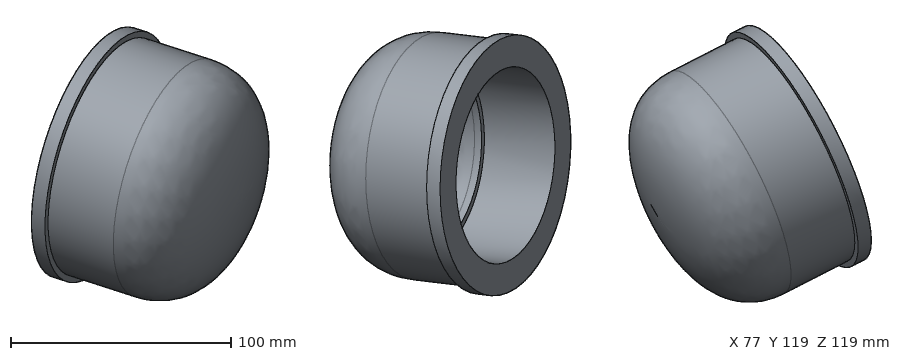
import cadquery as cq

total_length = 77.0
flange_radius = 119 / 2
flange_thickness = 7.0
body_radius = 113 / 2
body_end = 40.6
bore_radius = 90.0 / 2
bore_depth = 36.9
cavity_radius = 84.8 / 2
wall = body_radius - cavity_radius
dome_fullness = 0.65
dome_height = total_length - body_end
cavity_dome_height = dome_height - wall


def domed_solid(radius, cylinder_end, dome):
    """Cylinder from X = 0 closed at its far end by a dome fuller than an ellipsoid."""
    cylinder = (
        cq.Workplane("YZ")
        .circle(radius)
        .extrude(cylinder_end)
    )
    cap = (
        cq.Workplane("XY", origin=(cylinder_end, 0, 0))
        .moveTo(0, radius)
        .bezier([
            (0, radius),
            (dome_fullness * dome, radius),
            (dome, dome_fullness * radius),
            (dome, 0),
        ])
        .lineTo(0, 0)
        .close()
        .revolve(360, (0, 0, 0), (1, 0, 0))
    )
    return cylinder.union(cap)


flange = cq.Workplane("YZ").circle(flange_radius).extrude(flange_thickness)
shell = domed_solid(body_radius, body_end, dome_height).union(flange)

bore = cq.Workplane("YZ").circle(bore_radius).extrude(bore_depth)
cavity = domed_solid(cavity_radius, body_end, cavity_dome_height)

result = shell.cut(bore).cut(cavity)